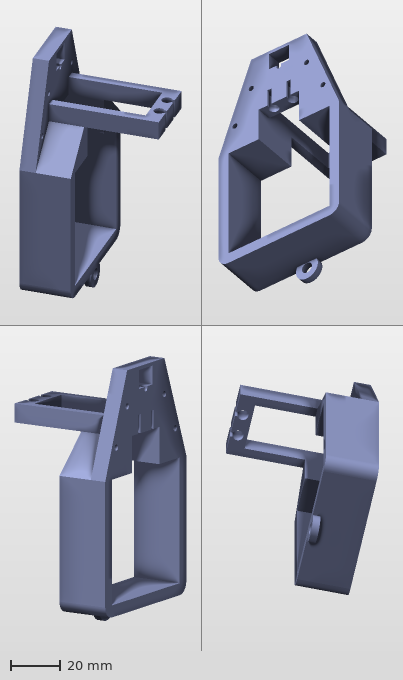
import cadquery as cq

total_height = 108.4
total_length = 54.0
body_width = 61.0
body_depth = 22.0

wall = 5.0
corner_radius = 5.0
frame_bottom = 8.1
shoulder_z = total_height - 43.3

plate_thickness = 6.9
top_width = 28.1
notch_width = 20.4

arm_height = 7.9
arm_top = total_height - 19.9
arm_bottom = arm_top - arm_height

keyhole_diameter = 4.5
keyhole_inset = 3.0
keyhole_gap = 2.1
keyhole_spacing = 9.6

window_width = 10.2
window_top = total_height - 1.5
window_bottom = total_height - 9.3
relief_width = 2.3
relief_center_z = total_height - 10.1

screw_diameter = 2.5
screw_places = [(14.0, total_height - 15.0), (22.2, total_height - 30.6)]

lug_thickness = 3.0
lug_radius = 5.5
lug_hole_diameter = 5.0


def box(x_range, width, z_range):
    """Box between two X and two Z positions, centred on Y = 0."""
    x_start, x_end = x_range
    z_start, z_end = z_range
    blank = cq.Workplane("XY").box(x_end - x_start, width, z_end - z_start, centered=(False, True, False))
    return blank.translate((x_start, 0, z_start))


def rod_along_x(diameter, y, z, x_start, length):
    """Cylinder running along +X."""
    return cq.Workplane("YZ", origin=(x_start, y, z)).circle(diameter / 2).extrude(length)


def tapered_slab(depth, upper_z):
    """Trapezoid rising from the frame shoulders, starting at X = 0."""
    outline = [
        (-body_width / 2, shoulder_z),
        (body_width / 2, shoulder_z),
        (top_width / 2, upper_z),
        (-top_width / 2, upper_z),
    ]
    return cq.Workplane("YZ").polyline(outline).close().extrude(depth)


def make_frame():
    outer = box((0, body_depth), body_width, (frame_bottom, shoulder_z))
    outer = outer.faces("<Z").edges("|X").fillet(corner_radius)
    opening = box((0, body_depth), body_width - 2 * wall, (frame_bottom + wall, shoulder_z))
    return outer.cut(opening)


def make_head():
    plate = tapered_slab(plate_thickness, total_height)
    block = tapered_slab(body_depth, arm_bottom)
    notch = box((0, body_depth), notch_width, (shoulder_z, arm_bottom))
    return plate.union(block).cut(notch)


def make_arm():
    arm_z = (arm_bottom, arm_top)
    arm = box((0, total_length), top_width, arm_z)
    opening = box((plate_thickness, total_length - plate_thickness), notch_width, arm_z)
    return arm.cut(opening)


def make_lug():
    lug_start = body_depth - lug_thickness
    disc = rod_along_x(2 * lug_radius, 0, lug_radius, lug_start, lug_thickness)
    below_frame = box((lug_start, body_depth), 2 * lug_radius, (0, frame_bottom))
    hole = rod_along_x(lug_hole_diameter, 0, lug_radius, lug_start, lug_thickness)
    return disc.intersect(below_frame).cut(hole)


def make_keyhole(center_x, mouth_range, y):
    """Upright bore with a narrow mouth to the nearest end face."""
    bore = cq.Workplane("XY", origin=(center_x, y, arm_bottom)).circle(keyhole_diameter / 2).extrude(arm_height)
    mouth = box(mouth_range, keyhole_gap, (arm_bottom, arm_top)).translate((0, y, 0))
    return bore.union(mouth)


def make_window():
    plate_range = (0, plate_thickness)
    opening = box(plate_range, window_width, (window_bottom, window_top))
    relief = box(plate_range, relief_width, (relief_center_z, window_bottom))
    relief_end = rod_along_x(relief_width, 0, relief_center_z, 0, plate_thickness)
    return opening.union(relief).union(relief_end)


result = make_frame().union(make_head()).union(make_arm()).union(make_lug())
result = result.cut(make_window())

far_center = total_length - keyhole_inset
for side in (-1, 1):
    keyhole_y = side * keyhole_spacing / 2
    result = result.cut(make_keyhole(keyhole_inset, (0, keyhole_inset), keyhole_y))
    result = result.cut(make_keyhole(far_center, (far_center, total_length), keyhole_y))
    for offset, height in screw_places:
        result = result.cut(rod_along_x(screw_diameter, side * offset, height, 0, body_depth))